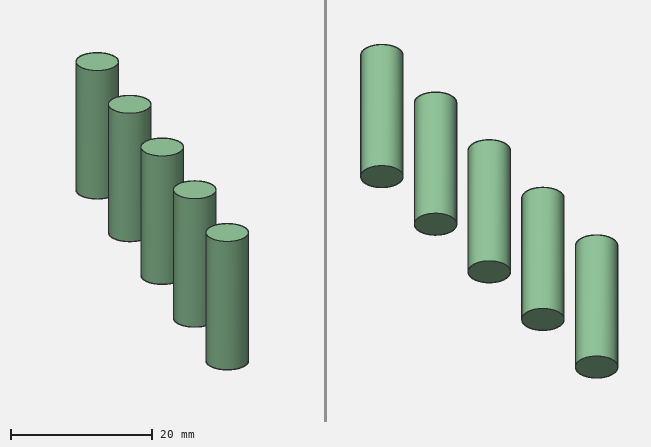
import cadquery as cq

row_length = 66.0
pin_diameter = 6.0
pin_height = 20.0
pin_count = 5

pin_pitch = (row_length - pin_diameter) / (pin_count - 1)


def make_pin(center_x):
    """Plain upright cylinder standing on the XY plane."""
    return cq.Workplane("XY").center(center_x, 0).circle(pin_diameter / 2).extrude(pin_height)


pins = []
for index in range(pin_count):
    offset_from_middle = index - (pin_count - 1) / 2
    pins.append(make_pin(offset_from_middle * pin_pitch))

result = cq.Compound.makeCompound([pin.val() for pin in pins])